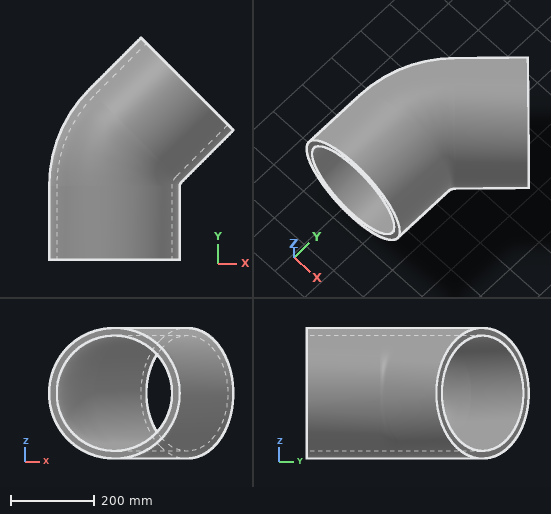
import cadquery as cq
import math

outer_diameter = 315.0
bore_diameter = 277.5
leg_length = 176.5
bend_radius = 172.5
bend_angle = 45.0


def bend_point(angle):
    """Centreline point after turning by the given angle (degrees) from +Y towards +X."""
    turn = math.radians(angle)
    x = bend_radius * (1 - math.cos(turn))
    y = leg_length + bend_radius * math.sin(turn)
    return x, y


bend_end_x, bend_end_y = bend_point(bend_angle)
turn = math.radians(bend_angle)
outlet = (
    bend_end_x + leg_length * math.sin(turn),
    bend_end_y + leg_length * math.cos(turn),
)
centreline = (
    cq.Workplane("XY")
    .lineTo(0, leg_length)
    .threePointArc(bend_point(bend_angle / 2), (bend_end_x, bend_end_y))
    .lineTo(*outlet)
)

result = (
    cq.Workplane("XZ")
    .circle(outer_diameter / 2)
    .circle(bore_diameter / 2)
    .sweep(centreline)
)